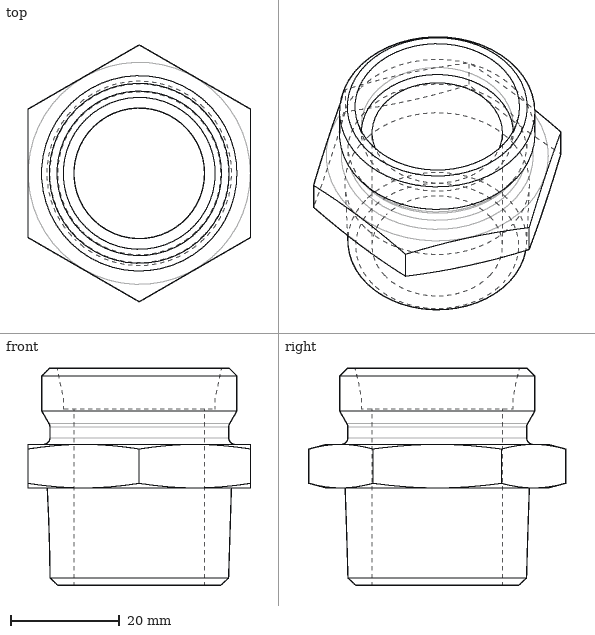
import cadquery as cq
import math

total_height = 40.0
hex_bottom = 17.95
hex_height = 8.05
hex_top = hex_bottom + hex_height

hex_corner_diameter = 47.35
hex_rim_radius = 20.45
hex_chamfer_angle = math.radians(15)

stub_top_radius = 17.0
stub_end_radius = 16.47
stub_chamfer_height = 1.35
stub_tip_radius = 15.0

collar_radius = 36.0 / 2
collar_bottom = 32.1
collar_chamfer = 1.4
neck_radius = 33.0 / 2
neck_fillet = 1.2
collar_slope_angle = math.radians(30)

bore_radius = 24.0 / 2
socket_radius = 28.0 / 2
mouth_radius = 15.15
cone_half_angle = math.radians(12)
cone_depth = (mouth_radius - socket_radius) / math.tan(cone_half_angle)
socket_depth = 7.5


def make_hexagon():
    """Hexagon with corners on Y and both rims chamfered down to the flats."""
    prism = (
        cq.Workplane("XY", origin=(0, 0, hex_bottom))
        .polygon(6, hex_corner_diameter)
        .extrude(hex_height)
        .rotate((0, 0, 0), (0, 0, 1), 30)
    )
    corner_radius = hex_corner_diameter / 2
    drop = (corner_radius - hex_rim_radius) * math.tan(hex_chamfer_angle)
    envelope = (
        cq.Workplane("XZ")
        .moveTo(0, hex_bottom)
        .lineTo(hex_rim_radius, hex_bottom)
        .lineTo(corner_radius, hex_bottom + drop)
        .lineTo(corner_radius, hex_top - drop)
        .lineTo(hex_rim_radius, hex_top)
        .lineTo(0, hex_top)
        .close()
        .revolve(360, (0, 0, 0), (0, 1, 0))
    )
    return prism.intersect(envelope)


def make_turned_body():
    """Tapered stub, neck filleted at both ends, and chamfered collar."""
    fillet_mid = neck_fillet * (1 - math.sqrt(0.5))
    neck_top = collar_bottom - (collar_radius - neck_radius) / math.tan(collar_slope_angle)
    tangent_length = neck_fillet * math.tan(collar_slope_angle / 2)
    arc_start_z = neck_top - tangent_length
    fillet_centre_radius = neck_radius + neck_fillet

    def slope_arc_point(angle):
        return (
            fillet_centre_radius - neck_fillet * math.cos(angle),
            arc_start_z + neck_fillet * math.sin(angle),
        )

    return (
        cq.Workplane("XZ")
        .lineTo(stub_tip_radius, 0)
        .lineTo(stub_end_radius, stub_chamfer_height)
        .lineTo(stub_top_radius, hex_bottom)
        .lineTo(fillet_centre_radius, hex_bottom)
        .lineTo(fillet_centre_radius, hex_top)
        .threePointArc(
            (neck_radius + fillet_mid, hex_top + fillet_mid),
            (neck_radius, hex_top + neck_fillet),
        )
        .lineTo(neck_radius, arc_start_z)
        .threePointArc(
            slope_arc_point(collar_slope_angle / 2),
            slope_arc_point(collar_slope_angle),
        )
        .lineTo(collar_radius, collar_bottom)
        .lineTo(collar_radius, total_height - collar_chamfer)
        .lineTo(collar_radius - collar_chamfer, total_height)
        .lineTo(0, total_height)
        .close()
        .revolve(360, (0, 0, 0), (0, 1, 0))
    )


def make_bore():
    """Through bore, socket and conical mouth as one cutting body."""
    socket_floor = total_height - socket_depth
    return (
        cq.Workplane("XZ")
        .lineTo(bore_radius, 0)
        .lineTo(bore_radius, socket_floor)
        .lineTo(socket_radius, socket_floor)
        .lineTo(socket_radius, total_height - cone_depth)
        .lineTo(mouth_radius, total_height)
        .lineTo(0, total_height)
        .close()
        .revolve(360, (0, 0, 0), (0, 1, 0))
    )


result = make_turned_body().union(make_hexagon()).cut(make_bore())